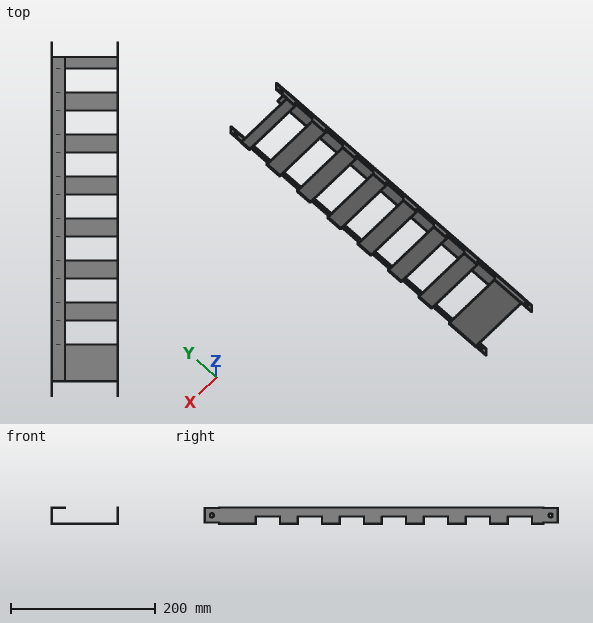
import cadquery as cq

width = 92.0
length = 488.0
height = 23.0
sheet = 1.0

tab_length = 20.0
tab_height = 20.4
tab_middle = 12.0
tab_bottom = tab_middle - tab_height / 2
tab_top = tab_middle + tab_height / 2
body_length = length - 2 * tab_length

lip_width = 19.0

window_count = 7
window_length = 33.0
rung_width = 25.0
window_pitch = window_length + rung_width
window_height = 10.0
first_rung_width = 16.0

hole_diameter = 5.0
hole_end_distance = 10.0
hole_height = tab_middle


def block(x_min, x_max, y_length, z_min, z_max):
    """Box between the given X and Z limits, centred on Y."""
    return (
        cq.Workplane("XY")
        .box(x_max - x_min, y_length, z_max - z_min, centered=(False, True, False))
        .translate((x_min, 0, z_min))
    )


def wall(x_min):
    """Side wall: full height along the body, set back at top and bottom on the end tabs."""
    x_max = x_min + sheet
    full_length_strip = block(x_min, x_max, length, tab_bottom, tab_top)
    body_strip = block(x_min, x_max, body_length, 0, height)
    return full_length_strip.union(body_strip)


def folded_tray():
    """Floor, two side walls and the lip before any cutting."""
    floor = block(-width / 2, width / 2, body_length, 0, sheet)
    lip = block(-width / 2, -width / 2 + lip_width, body_length, height - sheet, height)
    left_wall = wall(-width / 2)
    right_wall = wall(width / 2 - sheet)
    return floor.union(left_wall).union(right_wall).union(lip)


def window_cutters():
    """Full-width blocks that leave the rungs between them, counted from the +Y end."""
    first_center = body_length / 2 - first_rung_width - window_length / 2
    window = block(-width / 2, width / 2, window_length, 0, window_height)
    return [
        window.translate((0, first_center - index * window_pitch, 0))
        for index in range(window_count)
    ]


def hole_cutters():
    """One cylinder along X at each end, passing through both walls."""
    hole_y = length / 2 - hole_end_distance
    return (
        cq.Workplane("YZ")
        .pushPoints([(-hole_y, hole_height), (hole_y, hole_height)])
        .circle(hole_diameter / 2)
        .extrude(width / 2, both=True)
    )


result = folded_tray()
for cutter in window_cutters():
    result = result.cut(cutter)
result = result.cut(hole_cutters())